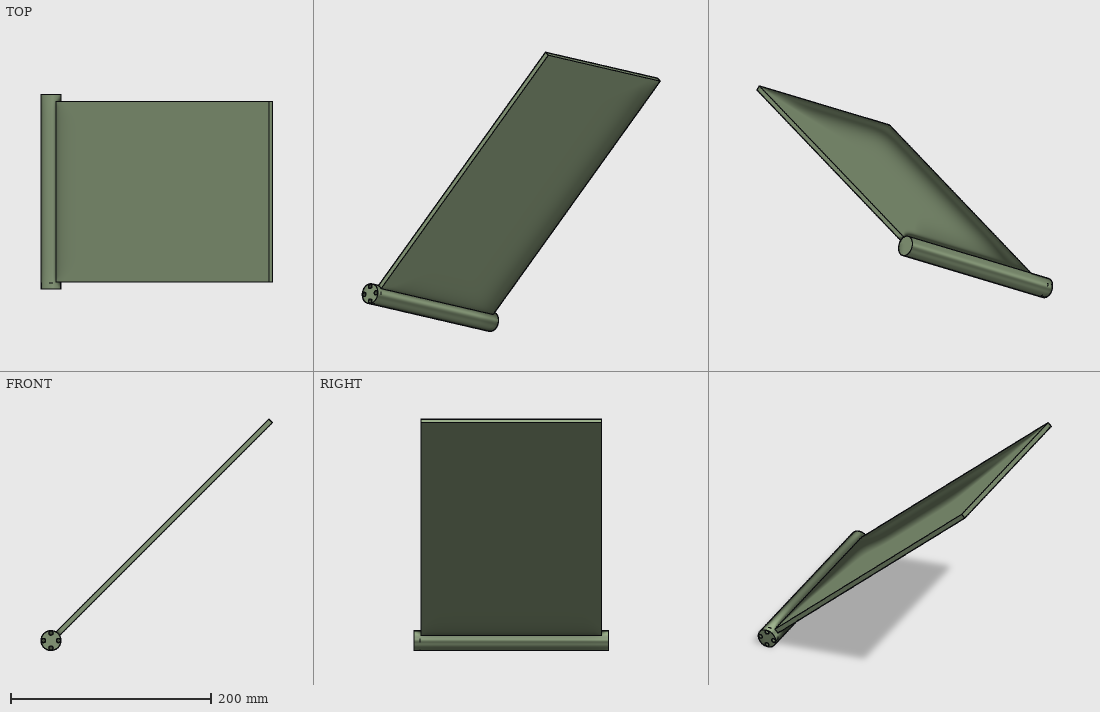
import cadquery as cq
import math

roller_diameter = 20.0
roller_length = 194.4

blade_reach = 310.0
blade_thickness = 5.0
blade_inset = 7.0
blade_width = roller_length - 2 * blade_inset
blade_angle = 45.0

hole_diameter = 3.9
hole_depth = 6.0
hole_chamfer = 0.3
hole_circle_radius = 7.5
hole_count = 4


def make_roller():
    """Solid round bar along Y, centred at the origin."""
    return cq.Workplane("XZ").circle(roller_diameter / 2).extrude(roller_length / 2, both=True)


def make_blade():
    """Flat plate from the roller axis to the free edge, tilted up about Y."""
    flat = cq.Workplane("XY").box(
        blade_reach, blade_width, blade_thickness, centered=(False, True, True)
    )
    return flat.rotate((0, 0, 0), (0, 1, 0), -blade_angle)


def make_hole_cutter(x, z):
    """Blind hole with a chamfered mouth, running in +Y from the -Y end face."""
    radius = hole_diameter / 2
    mouth_radius = radius + hole_chamfer
    end_face = cq.Workplane("XZ", origin=(x, -roller_length / 2, z))
    bore = end_face.circle(radius).extrude(-hole_depth)
    mouth = end_face.circle(mouth_radius).workplane(offset=-hole_chamfer).circle(radius).loft()
    return bore.union(mouth)


def cut_end_holes(body):
    """Cut the ring of evenly spaced holes into the -Y end of the roller."""
    for index in range(hole_count):
        angle = index * 2 * math.pi / hole_count
        x = hole_circle_radius * math.cos(angle)
        z = hole_circle_radius * math.sin(angle)
        body = body.cut(make_hole_cutter(x, z))
    return body


result = cut_end_holes(make_roller().union(make_blade()))